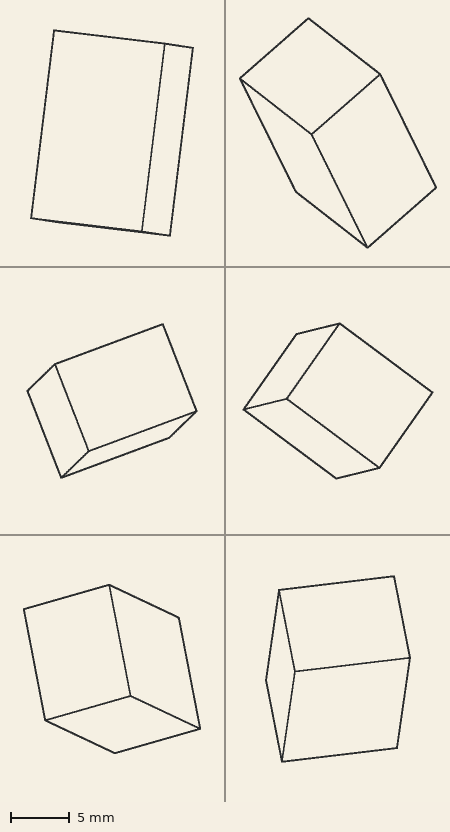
import cadquery as cq
import math

overall_height = 17.99
width = 10.0
thickness = 8.0
lean_angle = 22.0

lean = math.radians(lean_angle)
length = (overall_height - thickness * math.sin(lean)) / math.cos(lean)

block = cq.Workplane("XY").box(width, thickness, length)
result = block.rotate((0, 0, 0), (1, 0, 0), -lean_angle)